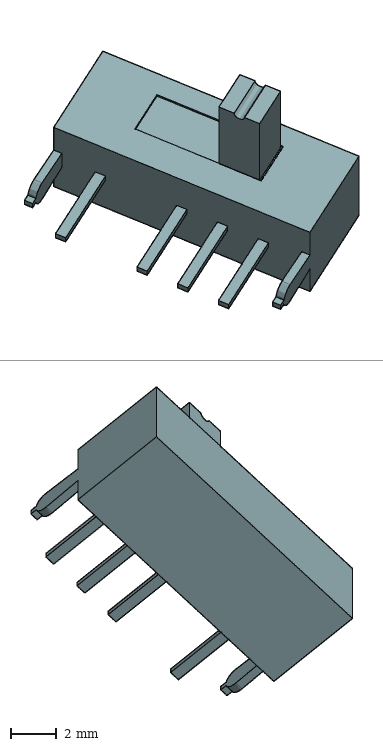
import cadquery as cq
import math

body_length = 12.6
body_depth = 4.7
body_height = 4.3
front_y = -body_depth / 2
mid_z = body_height / 2

window_length = 6.2
window_width = 2.1
window_depth = 0.1
window_y = 0.25

pitch = 2.0
knob_side = pitch
knob_x = pitch
knob_height = 4.01
groove_radius = 0.25

pin_positions = (-2, 0, 1, 2)
pin_width = 0.5
pin_thickness = 0.3
pin_length = 3.8

tab_thickness = 0.4
tab_root_height = 1.01
tab_head_height = 1.2
tab_head_radius = tab_head_height / 2
tab_head_distance = 1.9
tab_length = 2.8
tab_nub_height = pin_thickness


def make_body():
    body = cq.Workplane("XY").box(body_length, body_depth, body_height, centered=(True, True, False))
    window = (
        cq.Workplane("XY", origin=(0, window_y, body_height - window_depth))
        .box(window_length, window_width, window_depth, centered=(True, True, False))
    )
    return body.cut(window)


def make_knob():
    floor_z = body_height - window_depth
    top_z = body_height + knob_height
    knob = (
        cq.Workplane("XY", origin=(knob_x, window_y, floor_z))
        .box(knob_side, knob_side, top_z - floor_z, centered=(True, True, False))
    )
    groove = (
        cq.Workplane("XZ", origin=(knob_x, window_y + knob_side / 2, top_z))
        .circle(groove_radius)
        .extrude(knob_side)
    )
    return knob.cut(groove)


def make_pin(x):
    return (
        cq.Workplane("XZ", origin=(x, front_y, mid_z))
        .rect(pin_width, pin_thickness)
        .extrude(pin_length)
    )


def make_tab(x):
    """Flared tab with a round head and a small nub at its tip."""
    root_half = tab_root_height / 2
    nub_half = tab_nub_height / 2
    head_y = front_y - tab_head_distance
    tip_y = front_y - tab_length
    nub_angle = math.asin(nub_half / tab_head_radius)
    nub_y = head_y - tab_head_radius * math.cos(nub_angle)
    arc_angle = (math.pi / 2 + nub_angle) / 2
    arc_y = head_y - tab_head_radius * math.cos(arc_angle)
    arc_z = tab_head_radius * math.sin(arc_angle)
    return (
        cq.Workplane("YZ", origin=(x, 0, mid_z))
        .moveTo(front_y, root_half)
        .lineTo(head_y, tab_head_radius)
        .threePointArc((arc_y, arc_z), (nub_y, nub_half))
        .lineTo(tip_y, nub_half)
        .lineTo(tip_y, -nub_half)
        .lineTo(nub_y, -nub_half)
        .threePointArc((arc_y, -arc_z), (head_y, -tab_head_radius))
        .lineTo(front_y, -root_half)
        .close()
        .extrude(tab_thickness / 2, both=True)
    )


result = make_body().union(make_knob())
for position in pin_positions:
    result = result.union(make_pin(position * pitch))
for side in (-1, 1):
    result = result.union(make_tab(side * (body_length - tab_thickness) / 2))